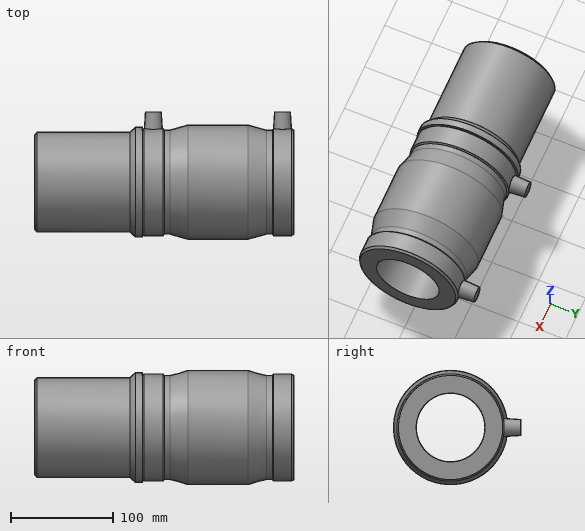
import cadquery as cq

length = 254.0
body_radius = 112.0 / 2
boss_tip_y = 125.0 - body_radius

spigot_radius = 98.0 / 2
spigot_end_radius = 92.2 / 2
collar_radius = 107.7 / 2
band_radius = 105.2 / 2
neck_radius = 102.0 / 2

end_chamfer = 2.5
band_chamfer = 1.3
spigot_end = 93.5
collar_start = 98.8
collar_end = 105.7
front_band_start = collar_end + band_chamfer
front_band_end = 125.7
front_neck_start = front_band_end + band_chamfer
front_neck_end = 132.5
body_start = 150.0
body_end = 209.0
rear_neck_start = 227.0
rear_neck_end = 233.0
rear_band_start = rear_neck_end + band_chamfer
rear_band_end = length - end_chamfer

bore_cone_length = 11.2
bore_cone_start = front_neck_end
bore_cone_end = bore_cone_start + bore_cone_length
bore_mouth_radius = 80.0 / 2
bore_throat_radius = 67.0 / 2

boss_tip_radius = 15.7 / 2
boss_base_radius = 18.0 / 2
boss_base_y = 51.3
boss_centers = [
    (front_band_start + front_band_end) / 2,
    (rear_band_start + rear_band_end) / 2,
]


def make_sleeve():
    """Revolve the half section of the hollow sleeve about X."""
    half_section = [
        (0, bore_mouth_radius),
        (0, spigot_end_radius),
        (end_chamfer, spigot_radius),
        (spigot_end, spigot_radius),
        (collar_start, collar_radius),
        (collar_end, collar_radius),
        (collar_end, neck_radius),
        (front_band_start, band_radius),
        (front_band_end, band_radius),
        (front_neck_start, neck_radius),
        (front_neck_end, neck_radius),
        (body_start, body_radius),
        (body_end, body_radius),
        (rear_neck_start, neck_radius),
        (rear_neck_end, neck_radius),
        (rear_band_start, band_radius),
        (rear_band_end, band_radius),
        (length, neck_radius),
        (length, bore_throat_radius),
        (bore_cone_end, bore_throat_radius),
        (bore_cone_start, bore_mouth_radius),
    ]
    profile = cq.Workplane("XY").polyline(half_section).close()
    return profile.revolve(360, (0, 0, 0), (1, 0, 0))


def make_boss(center_x):
    """Make a tapered boss pointing along +Y, rooted inside the sleeve wall."""
    return cq.Workplane(
        cq.Solid.makeCone(
            boss_base_radius,
            boss_tip_radius,
            boss_tip_y - boss_base_y,
            cq.Vector(center_x, boss_base_y, 0),
            cq.Vector(0, 1, 0),
        )
    )


result = make_sleeve()
for boss_x in boss_centers:
    result = result.union(make_boss(boss_x))